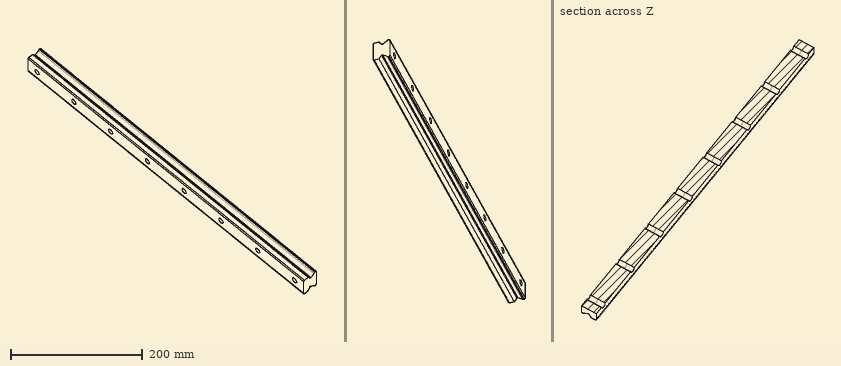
import cadquery as cq

length = 600.0
height = 27.5
width = 34.0

edge_chamfer = 2.0
base_height = 9.5
groove_height = 14.0
groove_floor = 2.0
shoulder_height = 22.0
crown_edge_height = 24.0
groove_depth = 6.0
shoulder_depth = 2.0

hole_diameter = 9.0
hole_count = 8
hole_end_margin = 20.0
hole_pitch = (length - 2 * hole_end_margin) / (hole_count - 1)


def rail_body():
    """Extrude the rail section, which is symmetric about the Z = 0 plane."""
    half_width = width / 2
    flank = [
        (0, half_width - edge_chamfer),
        (edge_chamfer, half_width),
        (base_height, half_width),
        (groove_height, half_width - groove_depth),
        (groove_height + groove_floor, half_width - groove_depth),
        (shoulder_height, half_width - shoulder_depth),
        (crown_edge_height, half_width),
        (height - edge_chamfer, half_width),
        (height, half_width - edge_chamfer),
    ]
    opposite_flank = [(y, -z) for y, z in reversed(flank)]
    section = cq.Workplane("YZ").polyline(flank + opposite_flank).close()
    return section.extrude(length / 2, both=True).translate((0, -height / 2, 0))


def mounting_holes():
    """One row of equally spaced cylinders along the rail's centre line."""
    holes = cq.Workplane("XZ").rarray(hole_pitch, 6, hole_count, 1).circle(hole_diameter / 2)
    return holes.extrude(height, both=True)


result = rail_body().cut(mounting_holes())